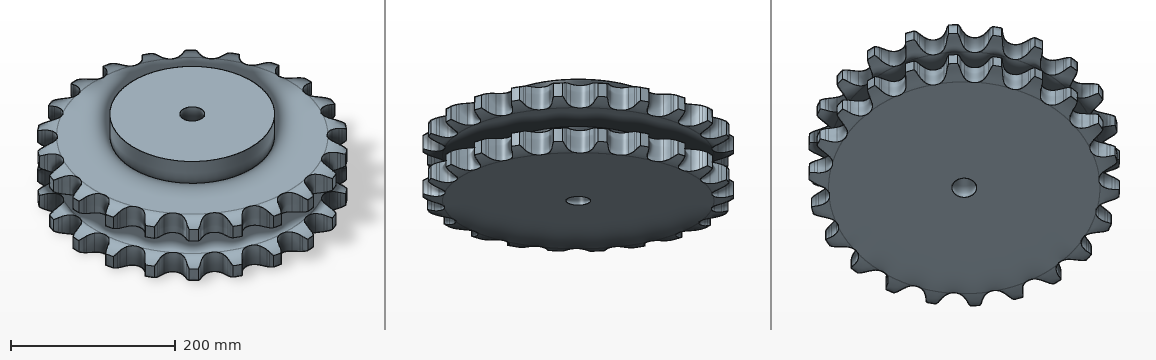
import cadquery as cq
import math


tooth_count = 22
tip_radius = 188.7
pitch_radius = 178.5
plate_width = 29.0
plate_spacing = 58.5
plate_count = 2
hub_diameter = 200.0
hub_height = 120.0
bore_diameter = 30.0

tooth_angle = 360 / tooth_count

seat_radius = 14.7
seat_half_angle = math.radians(52.3)
working_radius = 38.0
working_sweep = math.radians(15.5)
straight_length = 3.8
topping_radius = 24.0
topping_sweep = math.radians(30)

side_rounding = 2 * pitch_radius * math.sin(math.pi / tooth_count)
tip_width = 17.0
tip_drop = (plate_width - tip_width) / 2
rounding_depth = math.sqrt(side_rounding**2 - (side_rounding - tip_drop)**2)
flat_radius = tip_radius - rounding_depth


def arc_offset(radius, start_slope, end_slope):
    """Step (x, y) along an arc whose slope turns steeper, both angles from X."""
    return (
        radius * (math.sin(end_slope) - math.sin(start_slope)),
        radius * (math.cos(start_slope) - math.cos(end_slope)),
    )


def shifted(point, step):
    return (point[0] + step[0], point[1] + step[1])


def mirrored(point):
    return (-point[0], point[1])


def turned(shape, angle):
    return shape.rotate((0, 0, 0), (0, 0, 1), angle)


def make_blank_sector():
    """One tooth's share of the plate before cutting, on Z = 0, starting at the +X axis."""
    mid_drop = side_rounding - math.sqrt(side_rounding**2 - (rounding_depth / 2)**2)
    mid_radius = flat_radius + rounding_depth / 2
    return (
        cq.Workplane("XZ")
        .lineTo(flat_radius, 0)
        .threePointArc((mid_radius, mid_drop), (tip_radius, tip_drop))
        .lineTo(tip_radius, plate_width - tip_drop)
        .threePointArc((mid_radius, plate_width - mid_drop), (flat_radius, plate_width))
        .lineTo(0, plate_width)
        .close()
        .revolve(tooth_angle, (0, 0, 0), (0, 1, 0))
    )


def make_gap_cutter():
    """Prism that removes the gap centred on the +X axis."""
    flank_slope = seat_half_angle + working_sweep
    end_slope = flank_slope - topping_sweep
    straight_step = (
        straight_length * math.cos(flank_slope),
        straight_length * math.sin(flank_slope),
    )

    bottom = (0, pitch_radius - seat_radius)
    seat_end = shifted(bottom, arc_offset(seat_radius, 0, seat_half_angle))
    working_mid = shifted(
        seat_end,
        arc_offset(working_radius, seat_half_angle, seat_half_angle + working_sweep / 2),
    )
    working_end = shifted(seat_end, arc_offset(working_radius, seat_half_angle, flank_slope))
    straight_end = shifted(working_end, straight_step)
    topping_mid = shifted(
        straight_end,
        arc_offset(-topping_radius, flank_slope, flank_slope - topping_sweep / 2),
    )
    topping_end = shifted(straight_end, arc_offset(-topping_radius, flank_slope, end_slope))

    cutter = (
        cq.Workplane("XY")
        .moveTo(*mirrored(topping_end))
        .threePointArc(mirrored(topping_mid), mirrored(straight_end))
        .lineTo(*mirrored(working_end))
        .threePointArc(mirrored(working_mid), mirrored(seat_end))
        .threePointArc(bottom, seat_end)
        .threePointArc(working_mid, working_end)
        .lineTo(*straight_end)
        .threePointArc(topping_mid, topping_end)
        .close()
        .extrude(plate_width)
    )
    return turned(cutter, -90)


def make_tooth_sector():
    """Sector from one gap centre to the next, its tooth centred on the +X axis."""
    gap_cutter = make_gap_cutter()
    sector = make_blank_sector().cut(gap_cutter).cut(turned(gap_cutter, tooth_angle))
    return turned(sector, -tooth_angle / 2)


def make_toothed_plate():
    sector = make_tooth_sector().val()
    sectors = [turned(sector, tooth * tooth_angle) for tooth in range(tooth_count)]
    return cq.Workplane(sectors[0].fuse(*sectors[1:]).clean())


toothed_plate = make_toothed_plate()
result = cq.Workplane("XY").circle(hub_diameter / 2).extrude(hub_height)
for level in range(plate_count):
    result = result.union(toothed_plate.translate((0, 0, level * plate_spacing)))

bore = cq.Workplane("XY").circle(bore_diameter / 2).extrude(hub_height)
result = result.cut(bore)